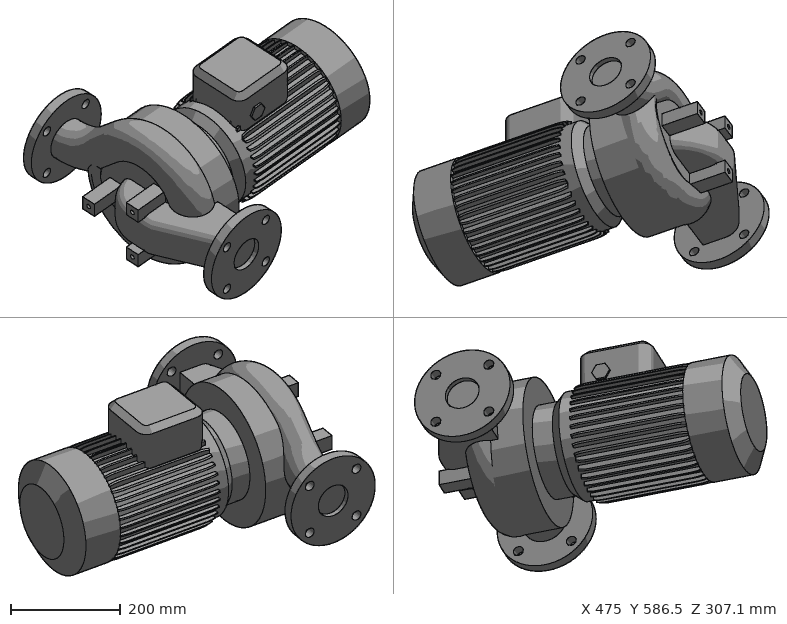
import cadquery as cq
import math


FLANGE_SPAN = 475.0
FLANGE_DIA = 185.0
FLANGE_THICKNESS = 20.0
BOLT_CIRCLE_DIA = 145.0
BOLT_HOLE_DIA = 19.0
BOLT_COUNT = 4
BORE_DIA = 65.0
BORE_DEPTH = FLANGE_THICKNESS / 2
FLANGE_INNER_X = FLANGE_SPAN / 2 - FLANGE_THICKNESS

TUBE_RADIUS = 41.0
SPIRAL_RADIUS = 105.5
SPIRAL_CENTER_Z = 6.5
OUTLET_ANGLE = 135.0
SPIRAL_START_ANGLE = -90.0
SPIRAL_MIDDLE_ANGLE = (OUTLET_ANGLE + SPIRAL_START_ANGLE) / 2
TONGUE_SECTIONS = [
    (225.0, 38.5, 40.5, 141.0),
    (180.0, 28.0, 40.0, 143.5),
    (160.0, 24.0, 39.0, 140.0),
]
CASING_RADIUS = 140.0
CASING_BACK_Y = 83.0
HUB_RADIUS = 100.0
HUB_FRONT_Y = -33.0

ELBOW_HALF_HEIGHT = 43.0
ELBOW_EDGE_RADIUS = 25.0
ELBOW_BEND_RADIUS = 82.0
ELBOW_FRONT_Y = -100.5
ELBOW_BACK_Y = 33.0
ELBOW_BEND_X = 37.0
ELBOW_KNEE_X = 82.3
ELBOW_KNEE_RADIUS = 25.0
ELBOW_END_Y = -40.5

FOOT_SIZE = 30.0
FOOT_FRONT_Y = -105.5
FOOT_CENTERS = [(-60.5, 0.0), (50.0, 55.0), (50.0, -55.0)]
FOOT_HOLE_DIA = 9.0
FOOT_HOLE_DEPTH = 20.0

NECK_RADIUS = 88.0
NECK_END_Y = 122.0
FLARE_END_Y = 139.5
BODY_RADIUS = 102.5
FIN_START_Y = 162.0
COVER_START_Y = 382.5
COVER_RADIUS = 111.5
COVER_CONE_Y = 458.5
COVER_END_RADIUS = 72.5
MOTOR_END_Y = 481.0

FIN_THICKNESS = 3.0
FIN_END_RADIUS = 109.0
FIN_END_LENGTH = 20.0
FIN_PITCH_ANGLE = 9.0
FINS_PER_GROUP = 10
FIN_GROUP_COUNT = 4
FIN_ROOT = 65.0

BOX_WIDTH = 129.0
BOX_LENGTH = 140.0
BOX_TOP_Z = 167.0
BOX_BASE_Z = 60.0
BOX_CORNER_RADIUS = 21.5
BOX_CHAMFER = 12.0
GLAND_CORNER_DIA = 35.0
GLAND_HEIGHT = 4.0
GLAND_Y = 208.5
GLAND_Z = 108.0


def cylinder_y(radius, start_y, end_y):
    """Cylinder on the shaft axis between two Y positions."""
    base = cq.Workplane("XZ", origin=(0, start_y, 0))
    return base.circle(radius).extrude(start_y - end_y)


def polar(radius, angle):
    """X and Z at an angle measured from +X toward +Z."""
    return (
        radius * math.cos(math.radians(angle)),
        radius * math.sin(math.radians(angle)),
    )


def spiral_point(angle):
    """Point on the volute's centre-line circle."""
    x, z = polar(SPIRAL_RADIUS, angle)
    return (x, z + SPIRAL_CENTER_Z)


def make_flange(side):
    """Drilled pipe flange, side -1 at -X and +1 at +X."""
    flange = (
        cq.Workplane("YZ", origin=(side * FLANGE_INNER_X, 0, 0))
        .circle(FLANGE_DIA / 2)
        .extrude(side * FLANGE_THICKNESS)
    )
    holes = (
        cq.Workplane("YZ", origin=(side * FLANGE_INNER_X, 0, 0))
        .polarArray(BOLT_CIRCLE_DIA / 2, 180 / BOLT_COUNT, 360, BOLT_COUNT)
        .circle(BOLT_HOLE_DIA / 2)
        .extrude(side * FLANGE_THICKNESS)
    )
    return flange.cut(holes)


def make_bore(side):
    """Blind pipe opening in the outer face of a flange."""
    bore = cq.Workplane("YZ", origin=(side * FLANGE_SPAN / 2, 0, 0))
    return bore.circle(BORE_DIA / 2).extrude(-side * BORE_DEPTH)


def make_discharge_tube():
    """Volute tube from the bottom of the spiral, over the top and out to the flange."""
    leave_x, leave_z = spiral_point(OUTLET_ANGLE)
    turn = math.radians(180 - OUTLET_ANGLE)
    run = FLANGE_INNER_X + leave_x
    slope = math.tan(turn)
    bend_radius = (run * slope - leave_z) / (math.sin(turn) * slope + math.cos(turn) - 1)
    bend_x = -FLANGE_INNER_X + bend_radius * math.sin(turn)
    bend_z = bend_radius * (1 - math.cos(turn))
    middle_x = -FLANGE_INNER_X + bend_radius * math.sin(turn / 2)
    middle_z = bend_radius * (1 - math.cos(turn / 2))
    path = (
        cq.Workplane("XZ")
        .moveTo(-FLANGE_INNER_X, 0)
        .threePointArc((middle_x, middle_z), (bend_x, bend_z))
        .lineTo(leave_x, leave_z)
        .threePointArc(spiral_point(SPIRAL_MIDDLE_ANGLE), spiral_point(SPIRAL_START_ANGLE))
    )
    section = cq.Workplane("YZ", origin=(-FLANGE_INNER_X, 0, 0)).circle(TUBE_RADIUS)
    return section.sweep(path)


def make_tongue():
    """Tapering start of the volute, from the bottom round to the tongue."""
    bottom_z = SPIRAL_CENTER_Z - SPIRAL_RADIUS
    bottom = (SPIRAL_START_ANGLE, TUBE_RADIUS, TUBE_RADIUS, TUBE_RADIUS - bottom_z)
    sections = [bottom] + TONGUE_SECTIONS
    wires = []
    for angle, half_width, half_depth, outermost in sections:
        x, z = polar(outermost - half_width, angle)
        radial_x, radial_z = polar(1.0, angle)
        travel_x, travel_z = polar(1.0, angle - 90)
        ellipse = cq.Edge.makeEllipse(
            half_width,
            half_depth,
            pnt=cq.Vector(x, 0, z),
            dir=cq.Vector(travel_x, 0, travel_z),
            xdir=cq.Vector(radial_x, 0, radial_z),
        )
        wires.append(cq.Wire.assembleEdges([ellipse]))
    return cq.Workplane(cq.Solid.makeLoft(wires))


def make_elbow():
    """Suction elbow with rounded front edges."""
    bend_left_x = ELBOW_BEND_X - ELBOW_BEND_RADIUS
    bend_y = ELBOW_FRONT_Y + ELBOW_BEND_RADIUS
    diagonal = ELBOW_BEND_RADIUS * math.sqrt(0.5)
    elbow = (
        cq.Workplane("XY", origin=(0, 0, -ELBOW_HALF_HEIGHT))
        .moveTo(bend_left_x, ELBOW_BACK_Y)
        .lineTo(bend_left_x, bend_y)
        .threePointArc(
            (ELBOW_BEND_X - diagonal, bend_y - diagonal), (ELBOW_BEND_X, ELBOW_FRONT_Y)
        )
        .lineTo(ELBOW_KNEE_X, ELBOW_FRONT_Y)
        .lineTo(FLANGE_INNER_X, ELBOW_END_Y)
        .lineTo(FLANGE_INNER_X, ELBOW_BACK_Y)
        .close()
        .extrude(2 * ELBOW_HALF_HEIGHT)
        .edges(cq.selectors.NearestToPointSelector((ELBOW_KNEE_X, ELBOW_FRONT_Y, 0)))
        .fillet(ELBOW_KNEE_RADIUS)
    )
    side_edges = elbow.faces("<Z or >Z").edges("not(>X or >Y)")
    return side_edges.fillet(ELBOW_EDGE_RADIUS)


def make_foot(x, z):
    """Square foot with a blind hole in its front end."""
    foot = (
        cq.Workplane("XZ", origin=(x, FOOT_FRONT_Y, z))
        .rect(FOOT_SIZE, FOOT_SIZE)
        .extrude(FOOT_FRONT_Y)
    )
    hole = (
        cq.Workplane("XZ", origin=(x, FOOT_FRONT_Y, z))
        .circle(FOOT_HOLE_DIA / 2)
        .extrude(-FOOT_HOLE_DEPTH)
    )
    return foot.cut(hole)


def make_motor():
    """Turned motor shape: neck, conical flare, body and fan cover."""
    return (
        cq.Workplane("XY")
        .moveTo(0, 0)
        .lineTo(NECK_RADIUS, 0)
        .lineTo(NECK_RADIUS, NECK_END_Y)
        .lineTo(BODY_RADIUS, FLARE_END_Y)
        .lineTo(BODY_RADIUS, COVER_START_Y)
        .lineTo(COVER_RADIUS, COVER_START_Y)
        .lineTo(COVER_RADIUS, COVER_CONE_Y)
        .lineTo(COVER_END_RADIUS, MOTOR_END_Y)
        .lineTo(0, MOTOR_END_Y)
        .close()
        .revolve(360, (0, 0, 0), (0, 1, 0))
    )


def make_fins():
    """Four groups of parallel fins trimmed to a round envelope with eased ends."""
    fin_length = COVER_START_Y - FIN_START_Y
    middle_y = (FIN_START_Y + COVER_START_Y) / 2
    drop = COVER_RADIUS - FIN_END_RADIUS
    arc_radius = (FIN_END_LENGTH**2 + drop**2) / (2 * drop)
    envelope = (
        cq.Workplane("XY")
        .moveTo(0, FIN_START_Y)
        .lineTo(FIN_END_RADIUS, FIN_START_Y)
        .radiusArc((COVER_RADIUS, FIN_START_Y + FIN_END_LENGTH), -arc_radius)
        .lineTo(COVER_RADIUS, COVER_START_Y - FIN_END_LENGTH)
        .radiusArc((FIN_END_RADIUS, COVER_START_Y), -arc_radius)
        .lineTo(0, COVER_START_Y)
        .close()
        .revolve(360, (0, 0, 0), (0, 1, 0))
    )
    fin_height = COVER_RADIUS - FIN_ROOT
    blanks = []
    for group in range(FIN_GROUP_COUNT):
        for index in range(FINS_PER_GROUP):
            steps = index - (FINS_PER_GROUP - 1) / 2
            offset = COVER_RADIUS * math.sin(math.radians(steps * FIN_PITCH_ANGLE))
            blank = (
                cq.Workplane("XY")
                .box(FIN_THICKNESS, fin_length, fin_height)
                .translate((offset, middle_y, FIN_ROOT + fin_height / 2))
                .rotate((0, 0, 0), (0, 1, 0), group * 360 / FIN_GROUP_COUNT)
            )
            blanks.append(blank.val())
    return [envelope.intersect(cq.Workplane(blank)) for blank in blanks]


def make_terminal_box():
    """Terminal box on top of the motor with a hexagonal gland on its +X side."""
    box = (
        cq.Workplane("XY", origin=(0, FIN_START_Y + BOX_LENGTH / 2, BOX_BASE_Z))
        .rect(BOX_WIDTH, BOX_LENGTH)
        .extrude(BOX_TOP_Z - BOX_BASE_Z)
        .edges("|Z")
        .fillet(BOX_CORNER_RADIUS)
        .faces(">Z")
        .chamfer(BOX_CHAMFER)
    )
    gland = (
        cq.Workplane("YZ", origin=(BOX_WIDTH / 2, GLAND_Y, GLAND_Z))
        .polygon(6, GLAND_CORNER_DIA)
        .extrude(GLAND_HEIGHT)
    )
    return box.union(gland)


casing = cylinder_y(CASING_RADIUS, 0, CASING_BACK_Y)
casing = casing.union(cylinder_y(HUB_RADIUS, HUB_FRONT_Y, CASING_BACK_Y))
pump = casing.union(make_discharge_tube().union(make_tongue()))
pump = pump.union(make_elbow())
for foot_x, foot_z in FOOT_CENTERS:
    pump = pump.union(make_foot(foot_x, foot_z))
for flange_side in (-1, 1):
    pump = pump.union(make_flange(flange_side)).cut(make_bore(flange_side))

fins = [fin.val() for fin in make_fins()]
whole = make_motor().val().fuse(*fins, make_terminal_box().val(), pump.val())
result = cq.Workplane(whole.clean().Solids()[0])